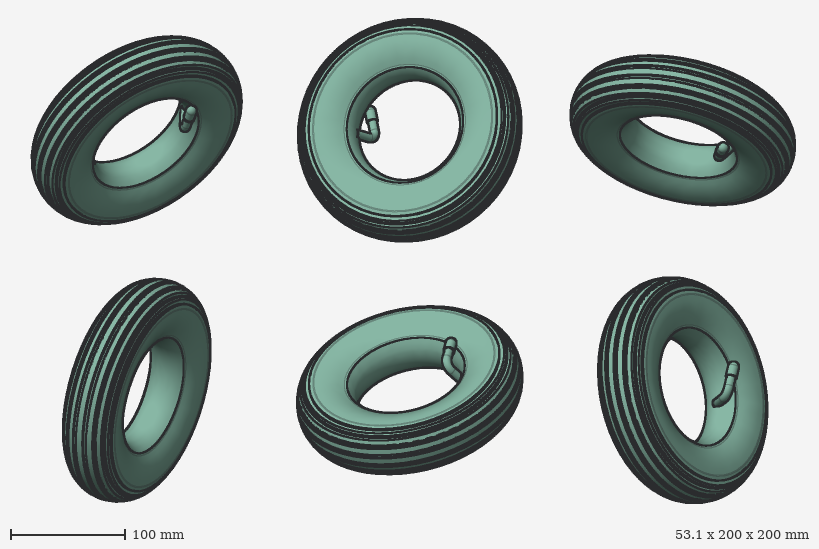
import cadquery as cq

tire_radius = 200 / 2
half_width = 25.0
shoulder_radius = 81.4
band_inner_radius = 80.4
bead_outer_radius = 54.8
bead_inner_radius = 52.5
bead_outer_half_width = 17.5
bead_inner_half_width = 16.8
sidewall_mid_radius = 66.0
sidewall_mid_half_width = 23.0
wall_thickness = 3.5
crown_thickness = 6.0

grooves = [
    (3.2, 6.5, 196.0),
    (12.0, 14.4, 191.0),
    (18.5, 20.8, 181.0),
    (22.8, half_width, 170.0),
]
cut_clearance = 2.0

tube_bore_radius = 46.2

stem_diameter = 8.2
cap_diameter = 9.8
elbow = cq.Vector(20.8, 35.8, 0)
root_direction = cq.Vector(-1.7, 1, 0).normalized()
tip_direction = cq.Vector(0.09, 0.22, 1).normalized()
root_length = 26.0
cap_start = 17.8
cap_length = 9.8
bend_tangent = 8.4


def revolve_about_x(profile):
    return profile.close().revolve(360, (0, 0, 0), (1, 0, 0))


def cavity_outline(profile):
    """Continue a profile from the left bead, round the tire's inner wall, to the right bead."""
    side_x = half_width - wall_thickness
    mid_x = sidewall_mid_half_width - wall_thickness
    crown_rise = tire_radius - crown_thickness - band_inner_radius
    return (
        profile
        .threePointArc((-mid_x, sidewall_mid_radius), (-side_x, band_inner_radius))
        .ellipseArc(side_x, crown_rise, 0, 180, startAtCurrent=True, sense=-1)
        .threePointArc((mid_x, sidewall_mid_radius), (bead_inner_half_width, bead_inner_radius))
    )


def make_cavity():
    profile = cq.Workplane("XY").moveTo(-bead_inner_half_width, bead_inner_radius)
    return revolve_about_x(cavity_outline(profile))


def make_groove(inner_x, outer_x, floor_diameter):
    """Ring that cuts one groove down to its floor."""
    return (
        cq.Workplane("YZ", origin=(inner_x, 0, 0))
        .circle(tire_radius + cut_clearance)
        .circle(floor_diameter / 2)
        .extrude(outer_x - inner_x)
    )


def make_tire():
    outline = (
        cq.Workplane("XY")
        .moveTo(-bead_inner_half_width, bead_inner_radius)
        .lineTo(-bead_outer_half_width, bead_outer_radius)
        .threePointArc((-sidewall_mid_half_width, sidewall_mid_radius), (-half_width, band_inner_radius))
        .lineTo(-half_width, shoulder_radius)
        .ellipseArc(half_width, tire_radius - shoulder_radius, 0, 180, startAtCurrent=True, sense=-1)
        .lineTo(half_width, band_inner_radius)
        .threePointArc(
            (sidewall_mid_half_width, sidewall_mid_radius), (bead_outer_half_width, bead_outer_radius)
        )
        .lineTo(bead_inner_half_width, bead_inner_radius)
    )
    tire = revolve_about_x(outline).cut(make_cavity())
    for inner_x, outer_x, floor_diameter in grooves:
        groove = make_groove(inner_x, outer_x, floor_diameter)
        tire = tire.cut(groove).cut(groove.mirror("YZ"))
    return tire


def make_valve():
    root_end = elbow + root_direction * root_length
    bend_start = elbow + root_direction * bend_tangent
    bend_end = elbow + tip_direction * bend_tangent
    cap_base = elbow + tip_direction * cap_start
    cap_shoulder = cap_base + tip_direction * cap_length
    path = cq.Wire.assembleEdges([
        cq.Edge.makeLine(root_end, bend_start),
        cq.Edge.makeTangentArc(bend_start, root_direction * -1, bend_end),
        cq.Edge.makeLine(bend_end, cap_base),
    ])
    stem_plane = cq.Plane(origin=root_end, normal=root_direction * -1)
    stem = cq.Workplane(stem_plane).circle(stem_diameter / 2).sweep(cq.Workplane(path))
    cap_plane = cq.Plane(origin=cap_base, normal=tip_direction)
    cap = cq.Workplane(cap_plane).circle(cap_diameter / 2).extrude(cap_length)
    dome = cq.Workplane(cq.Plane(origin=cap_shoulder, normal=tip_direction)).sphere(cap_diameter / 2)
    return stem.union(cap).union(dome)


def make_tube(valve):
    """Tube that fills the tire, bulges inward between the beads and holds the valve root."""
    profile = cq.Workplane("XY").moveTo(-bead_inner_half_width, bead_inner_radius)
    profile = cavity_outline(profile).threePointArc(
        (0, tube_bore_radius), (-bead_inner_half_width, bead_inner_radius)
    )
    return revolve_about_x(profile).cut(valve)


tire = make_tire()
valve = make_valve()
tube = make_tube(valve)
result = cq.Compound.makeCompound([tire.solids().val(), tube.solids().val(), valve.solids().val()])